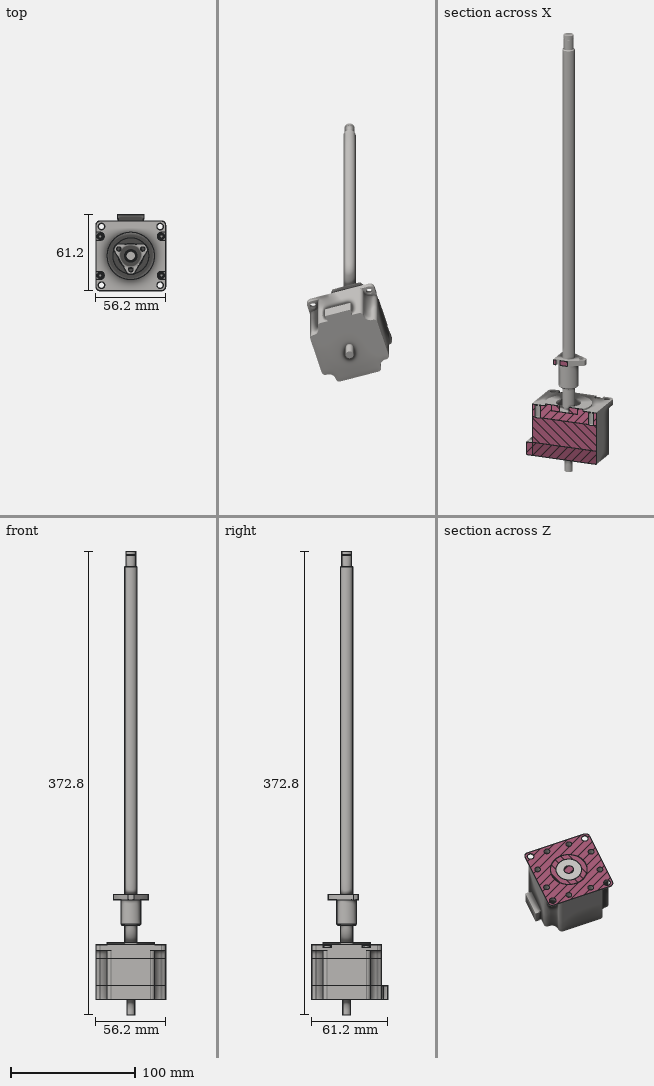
import cadquery as cq
import math


motor_size = 56.2
half_size = motor_size / 2
motor_length = 44.3
cap_height = 11.2
motor_bottom = -motor_length
stator_top = -cap_height
stator_bottom = motor_bottom + cap_height
flange_thickness = 4.8
flange_corner_radius = 3.5
pilot_diameter = 38.1
pilot_height = 1.6

lug_radius = 3.0
lug_center = 16.0
lug_end = half_size - lug_radius
relief_wall = lug_center + lug_radius
relief_center = 24.4
relief_radius = relief_center - relief_wall

mount_spacing = 47.14
mount_hole_diameter = 5.0

blind_hole_diameter = 4.2
blind_hole_roof = 1.0
blind_hole_near = 9.5
blind_hole_far = 23.2

seat_x = 24.6
seat_y = 15.7
seat_radius = 3.3
seat_depth = 2.2
head_diameter = 5.0
head_height = 1.9
head_chamfer = 0.6
socket_size = 2.9
socket_depth = 1.0

bearing_outer_diameter = 29.0
bearing_inner_diameter = 20.2
bearing_height = 5.0
bearing_bottom = pilot_height - bearing_height

total_length = 372.8
screw_diameter = 10.0
screw_shoulder = -1.1
screw_top = 316.1
journal_diameter = 8.0
journal_length = 12.0
thread_end = screw_top - journal_length
thread_chamfer = 0.6
groove_diameter = 7.6
groove_width = 0.9
groove_top = screw_top - 2.6
shaft_diameter = 6.35
shaft_bottom = screw_top - total_length

nut_diameter = 16.0
nut_top = 40.4
nut_length = 24.9
nut_bottom = nut_top - nut_length
nut_chamfer = 1.0
nut_flange_thickness = 4.5
nut_flange_bottom = nut_top - nut_flange_thickness
nut_flange_diameter = 30.0
nut_flange_flat = 9.5
nut_hole_circle_radius = 11.1
nut_hole_diameter = 3.5

total_depth = 61.22
connector_width = 21.6
connector_depth = total_depth - motor_size
connector_neck_width = 20.4
connector_neck_depth = 1.6


def plane_at(z):
    return cq.Workplane("XY", origin=(0, 0, z))


def cylinder(diameter, bottom, top):
    return plane_at(bottom).circle(diameter / 2).extrude(top - bottom)


def ring(outer_diameter, inner_diameter, bottom, top):
    return plane_at(bottom).circle(outer_diameter / 2).circle(inner_diameter / 2).extrude(top - bottom)


def turned(x, y, angle):
    """The point (x, y) turned about the Z axis."""
    c = math.cos(angle)
    s = math.sin(angle)
    return (x * c - y * s, x * s + y * c)


def housing_section(bottom, top):
    """Square prism with a scooped relief and two rounded lugs at each corner."""
    lug_mid = lug_radius * math.sqrt(0.5)
    relief_mid = relief_radius * math.sqrt(0.5)
    outline = plane_at(bottom).moveTo(-lug_center, -half_size)
    for corner in range(4):
        angle = corner * math.pi / 2

        def at(x, y):
            return turned(x, y, angle)

        outline = (
            outline.lineTo(*at(lug_center, -half_size))
            .threePointArc(at(lug_center + lug_mid, -lug_end - lug_mid), at(relief_wall, -lug_end))
            .lineTo(*at(relief_wall, -relief_center))
            .threePointArc(
                at(relief_center - relief_mid, -relief_center + relief_mid),
                at(relief_center, -relief_wall),
            )
            .lineTo(*at(lug_end, -relief_wall))
            .threePointArc(at(lug_end + lug_mid, -lug_center - lug_mid), at(half_size, -lug_center))
        )
    return outline.close().extrude(top - bottom)


def hole_grid(x_spacing, y_spacing, diameter, bottom, top):
    """Four cylinders at the corners of a rectangle."""
    return (
        plane_at(bottom)
        .rect(x_spacing, y_spacing, forConstruction=True)
        .vertices()
        .circle(diameter / 2)
        .extrude(top - bottom)
    )


def screw_seat(x_side, y_side):
    """U-shaped pocket from the flange side to around the screw head."""
    edge_distance = half_size - seat_x
    round_end = plane_at(-seat_depth).center(x_side * seat_x, y_side * seat_y).circle(seat_radius)
    mouth = (
        plane_at(-seat_depth)
        .center(x_side * (seat_x + edge_distance / 2), y_side * seat_y)
        .rect(edge_distance, 2 * seat_radius)
    )
    return round_end.extrude(seat_depth).union(mouth.extrude(seat_depth))


def screw_head(x_side, y_side):
    """Chamfered screw head with a hexagonal socket, standing on the seat floor."""
    head = cylinder(head_diameter, -seat_depth, head_height - seat_depth).faces(">Z").chamfer(head_chamfer)
    socket_bottom = head_height - seat_depth - socket_depth
    head = head.cut(plane_at(socket_bottom).polygon(6, socket_size).extrude(socket_depth))
    return head.translate((x_side * seat_x, y_side * seat_y, 0))


def make_front_cap():
    flange = plane_at(-flange_thickness).rect(motor_size, motor_size).extrude(flange_thickness)
    flange = flange.edges("|Z").fillet(flange_corner_radius)
    cap = housing_section(stator_top, -flange_thickness)
    cap = cap.union(flange).union(cylinder(pilot_diameter, 0, pilot_height))

    cap = cap.cut(hole_grid(mount_spacing, mount_spacing, mount_hole_diameter, -flange_thickness, 0))
    for x, y in ((blind_hole_near, blind_hole_far), (blind_hole_far, blind_hole_near)):
        cap = cap.cut(hole_grid(2 * x, 2 * y, blind_hole_diameter, stator_top, -blind_hole_roof))
    for x_side in (-1, 1):
        for y_side in (-1, 1):
            cap = cap.cut(screw_seat(x_side, y_side)).union(screw_head(x_side, y_side))

    cap = cap.cut(cylinder(bearing_outer_diameter, bearing_bottom, pilot_height))
    return cap.cut(cylinder(journal_diameter, stator_top, bearing_bottom))


def make_stator():
    bore = cylinder(shaft_diameter, stator_bottom, stator_top)
    return housing_section(stator_bottom, stator_top).cut(bore)


def make_rear_cap():
    bore = cylinder(shaft_diameter, motor_bottom, stator_bottom)
    return housing_section(motor_bottom, stator_bottom).cut(bore)


def make_bearing():
    return ring(bearing_outer_diameter, bearing_inner_diameter, bearing_bottom, pilot_height)


def make_connector():
    """Block as tall as the rear cap, slightly narrower where it meets the cap."""
    plug_depth = connector_depth - connector_neck_depth
    neck = (
        plane_at(motor_bottom)
        .center(0, half_size + connector_neck_depth / 2)
        .rect(connector_neck_width, connector_neck_depth)
        .extrude(cap_height)
    )
    plug = (
        plane_at(motor_bottom)
        .center(0, half_size + connector_neck_depth + plug_depth / 2)
        .rect(connector_width, plug_depth)
        .extrude(cap_height)
    )
    return neck.union(plug)


def make_motor_shaft():
    return cylinder(shaft_diameter, shaft_bottom, stator_top)


def make_lead_screw():
    """Screw with a journal at each end and a retaining ring groove near the top."""
    thread = cylinder(screw_diameter, screw_shoulder, thread_end).faces(">Z").chamfer(thread_chamfer)
    lower_journal = cylinder(journal_diameter, stator_top, screw_shoulder)
    upper_journal = cylinder(journal_diameter, thread_end, screw_top)
    groove = ring(journal_diameter, groove_diameter, groove_top - groove_width, groove_top)
    return thread.union(lower_journal).union(upper_journal).cut(groove)


def make_nut():
    """Round nut under a three-sided flange with rounded corners."""
    barrel = cylinder(nut_diameter, nut_bottom, nut_top).faces("<Z").chamfer(nut_chamfer)
    triangle = (
        plane_at(nut_flange_bottom)
        .transformed(rotate=(0, 0, -90))
        .polygon(3, 4 * nut_flange_flat)
        .extrude(nut_flange_thickness)
    )
    flange = cylinder(nut_flange_diameter, nut_flange_bottom, nut_top).intersect(triangle)
    holes = (
        plane_at(nut_flange_bottom)
        .polarArray(nut_hole_circle_radius, -90, 360, 3)
        .circle(nut_hole_diameter / 2)
        .extrude(nut_flange_thickness)
    )
    bore = cylinder(screw_diameter, nut_bottom, nut_top)
    return barrel.union(flange).cut(holes).cut(bore)


front_cap = make_front_cap()
stator = make_stator()
rear_cap = make_rear_cap()
bearing = make_bearing()
connector = make_connector()
motor_shaft = make_motor_shaft()
lead_screw = make_lead_screw()
nut = make_nut()

result = cq.Compound.makeCompound(
    [
        front_cap.val(),
        stator.val(),
        rear_cap.val(),
        bearing.val(),
        connector.val(),
        motor_shaft.val(),
        lead_screw.val(),
        nut.val(),
    ]
)